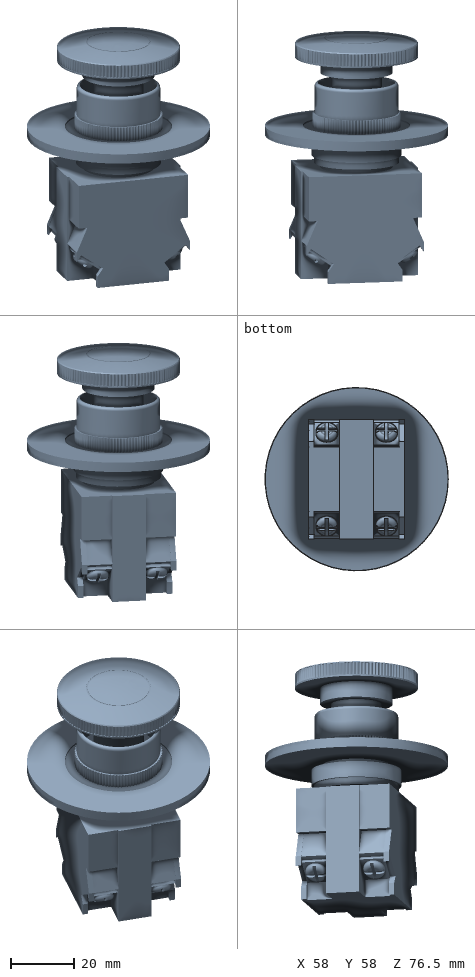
import cadquery as cq
import math

CONTACT_TOP = 20.35
HOUSING_TOP = 34.6
ADAPTER_NECK_TOP = 36.1
ADAPTER_STEP_TOP = 38.4
ADAPTER_TOP = 43.45
PLATE_BOTTOM = 44.9
PLATE_TOP = 48.0
COLLAR_KNURL_TOP = 51.95
COLLAR_FLOOR = 52.4
COLLAR_TOP = 61.7
BUTTON_NECK_BOTTOM = 64.9
CAP_BOTTOM = 69.9
CAP_KNURL_BOTTOM = 70.45
CAP_KNURL_TOP = 74.35
DOME_EDGE = 74.7
TOTAL_HEIGHT = 76.5

HOUSING_WIDTH = 30.4
HOUSING_DEPTH = 36.4
RIB_WIDTH = 10.8
RIB_DEPTH = 37.7
ADAPTER_DIAMETER = 28.45
ADAPTER_STEP_DIAMETER = 27.0
ADAPTER_NECK_DIAMETER = 22.95
BARREL_DIAMETER = 22.2

WALL_THICKNESS = 1.75
SHOULDER_DEPTH = 30.75
SHOULDER_HEIGHT = 12.5
FOOT_DEPTH = 23.8
BAY_SETBACK = 0.1
NOTCH_TOP_Y = 17.45
NOTCH_TOP_Z = 11.4
NOTCH_LENGTH = 8.9
NOTCH_ANGLE = 35.0
STRIP_THICKNESS = 1.0

SCREW_DIAMETER = 7.0
SCREW_HEIGHT = 2.0
SCREW_ROUNDING = 1.5
SCREW_SLOT_WIDTH = 1.15
SCREW_SLOT_DEPTH = 0.9
SCREW_ALONG_NOTCH = 4.2

PLATE_DIAMETER = 58.0
PLATE_RECESS_DIAMETER = 34.0
PLATE_RECESS_DEPTH = 0.5

COLLAR_DIAMETER = 26.5
COLLAR_KNURL_DIAMETER = 27.9
COLLAR_ROUNDING = 1.0
COLLAR_TEETH = 88

CAP_DIAMETER = 38.95
CAP_RIM = 0.2
BUTTON_NECK_DIAMETER = 22.95
STEM_DIAMETER = 16.0
CAP_TEETH = 110
DOME_GROOVE_OUTER_DIAMETER = 20.5
DOME_GROOVE_WIDTH = 0.45
DOME_GROOVE_DEPTH = 0.1

KNURL_DEPTH = 0.4


def disc(diameter, bottom, top):
    """Upright cylinder about the Z axis between two levels."""
    return cq.Workplane("XY").workplane(offset=bottom).circle(diameter / 2).extrude(top - bottom)


def knurled_disc(diameter, teeth, bottom, top):
    """Upright disc whose rim is a ring of triangular teeth."""
    tip_radius = diameter / 2
    root_radius = tip_radius - KNURL_DEPTH
    points = []
    for corner in range(2 * teeth):
        radius = tip_radius if corner % 2 == 0 else root_radius
        angle = math.pi * corner / teeth
        points.append((radius * math.cos(angle), radius * math.sin(angle)))
    return cq.Workplane("XY").workplane(offset=bottom).polyline(points).close().extrude(top - bottom)


def block(width, depth, bottom, top):
    """Upright box centred on the Z axis between two levels."""
    return cq.Workplane("XY").workplane(offset=bottom).rect(width, depth).extrude(top - bottom)


def make_housing():
    housing = block(HOUSING_WIDTH, HOUSING_DEPTH, CONTACT_TOP, HOUSING_TOP)
    housing = housing.union(block(RIB_WIDTH, RIB_DEPTH, 0, HOUSING_TOP))
    housing = housing.union(disc(ADAPTER_NECK_DIAMETER, HOUSING_TOP, ADAPTER_NECK_TOP))
    housing = housing.union(disc(ADAPTER_STEP_DIAMETER, ADAPTER_NECK_TOP, ADAPTER_STEP_TOP))
    housing = housing.union(disc(ADAPTER_DIAMETER, ADAPTER_STEP_TOP, ADAPTER_TOP))
    return housing.union(disc(BARREL_DIAMETER, ADAPTER_TOP, COLLAR_FLOOR))


notch_along = (-math.cos(math.radians(NOTCH_ANGLE)), -math.sin(math.radians(NOTCH_ANGLE)))
notch_outward = (math.sin(math.radians(NOTCH_ANGLE)), -math.cos(math.radians(NOTCH_ANGLE)))


def notch_point(along, outward):
    """Point (Y, Z) measured from the upper inner corner of the +Y notch."""
    y = NOTCH_TOP_Y + along * notch_along[0] + outward * notch_outward[0]
    z = NOTCH_TOP_Z + along * notch_along[1] + outward * notch_outward[1]
    return (y, z)


def notch_point_at_y(y, along):
    """Point (Y, Z) at a given Y on the line square to the notch at a distance along it."""
    outward = (y - notch_point(along, 0)[0]) / notch_outward[0]
    return notch_point(along, outward)


def symmetric_prism(half_outline, x_start, x_end):
    """Extrude along X an outline given by its +Y half, top to bottom."""
    mirrored = [(-y, z) for y, z in reversed(half_outline)]
    outline = cq.Workplane("YZ").workplane(offset=x_start).polyline(half_outline + mirrored).close()
    return outline.extrude(x_end - x_start)


def make_contact_block(side):
    shoulder_y = SHOULDER_DEPTH / 2
    rib_y = RIB_DEPTH / 2
    foot_y = FOOT_DEPTH / 2
    wall_half = [
        (shoulder_y, CONTACT_TOP),
        (rib_y, SHOULDER_HEIGHT),
        notch_point_at_y(rib_y, 0),
        notch_point(0, 0),
        notch_point(NOTCH_LENGTH, 0),
        notch_point_at_y(foot_y, NOTCH_LENGTH),
        (foot_y, 0),
    ]
    bay_y = rib_y - BAY_SETBACK
    bay_edge_along = (NOTCH_TOP_Y - bay_y) / math.cos(math.radians(NOTCH_ANGLE))
    bay_foot_y = notch_point(NOTCH_LENGTH, 0)[0]
    bay_half = [
        (shoulder_y - BAY_SETBACK, CONTACT_TOP),
        notch_point(bay_edge_along, 0),
        notch_point(0, 0),
        notch_point(0, STRIP_THICKNESS),
        notch_point(NOTCH_LENGTH, STRIP_THICKNESS),
        notch_point(NOTCH_LENGTH, 0),
        (bay_foot_y, 0),
    ]
    outer_x = HOUSING_WIDTH / 2
    wall_x = outer_x - WALL_THICKNESS
    contact = symmetric_prism(wall_half, wall_x, outer_x)
    contact = contact.union(symmetric_prism(bay_half, RIB_WIDTH / 2, wall_x))
    return contact if side > 0 else contact.mirror("YZ")


def make_screw(side_x, side_y):
    radius = SCREW_DIAMETER / 2
    screw = cq.Workplane("XY").circle(radius).extrude(SCREW_HEIGHT)
    screw = screw.faces(">Z").edges().fillet(SCREW_ROUNDING)
    for angle in (0, 90):
        slot = cq.Workplane("XY").box(SCREW_DIAMETER, SCREW_SLOT_WIDTH, SCREW_SLOT_DEPTH)
        slot = slot.translate((0, 0, SCREW_HEIGHT - SCREW_SLOT_DEPTH / 2))
        screw = screw.cut(slot.rotate((0, 0, 0), (0, 0, 1), angle))
    seat_y, seat_z = notch_point(SCREW_ALONG_NOTCH, STRIP_THICKNESS)
    bay_x = (RIB_WIDTH / 2 + HOUSING_WIDTH / 2 - WALL_THICKNESS) / 2
    seat = cq.Plane(
        origin=(side_x * bay_x, side_y * seat_y, seat_z),
        xDir=(1, 0, 0),
        normal=(0, side_y * notch_outward[0], notch_outward[1]),
    )
    return cq.Workplane(screw.val().located(seat.location))


def make_plate():
    plate = disc(PLATE_DIAMETER, PLATE_BOTTOM, PLATE_TOP)
    plate = plate.cut(disc(PLATE_RECESS_DIAMETER, PLATE_TOP - PLATE_RECESS_DEPTH, PLATE_TOP))
    return plate.cut(disc(BARREL_DIAMETER, PLATE_BOTTOM, PLATE_TOP))


def make_collar():
    foot_bottom = PLATE_TOP - PLATE_RECESS_DEPTH
    sleeve = disc(COLLAR_DIAMETER, COLLAR_KNURL_TOP, COLLAR_TOP)
    sleeve = sleeve.faces(">Z").edges().fillet(COLLAR_ROUNDING)
    collar = knurled_disc(COLLAR_KNURL_DIAMETER, COLLAR_TEETH, foot_bottom, COLLAR_KNURL_TOP)
    collar = collar.union(sleeve)
    collar = collar.cut(disc(BARREL_DIAMETER, foot_bottom, COLLAR_FLOOR))
    bore_diameter = COLLAR_DIAMETER - 2 * COLLAR_ROUNDING
    return collar.cut(disc(bore_diameter, COLLAR_FLOOR, COLLAR_TOP))


def make_button():
    dome_radius = CAP_DIAMETER / 2 - CAP_RIM
    dome_rise = TOTAL_HEIGHT - DOME_EDGE
    sphere_radius = (dome_radius**2 + dome_rise**2) / (2 * dome_rise)
    mid_radius = dome_radius / 2
    mid_z = TOTAL_HEIGHT - sphere_radius + math.sqrt(sphere_radius**2 - mid_radius**2)
    dome = (
        cq.Workplane("XZ")
        .moveTo(0, CAP_KNURL_TOP)
        .lineTo(CAP_DIAMETER / 2, CAP_KNURL_TOP)
        .lineTo(dome_radius, DOME_EDGE)
        .threePointArc((mid_radius, mid_z), (0, TOTAL_HEIGHT))
        .close()
        .revolve(360, (0, 0, 0), (0, 1, 0))
    )
    button = dome.union(knurled_disc(CAP_DIAMETER, CAP_TEETH, CAP_KNURL_BOTTOM, CAP_KNURL_TOP))
    button = button.union(disc(CAP_DIAMETER, CAP_BOTTOM, CAP_KNURL_BOTTOM))
    button = button.union(disc(BUTTON_NECK_DIAMETER, BUTTON_NECK_BOTTOM, CAP_BOTTOM))
    button = button.union(disc(STEM_DIAMETER, COLLAR_FLOOR, BUTTON_NECK_BOTTOM))

    groove_radius = DOME_GROOVE_OUTER_DIAMETER / 2
    groove_z = TOTAL_HEIGHT - sphere_radius + math.sqrt(sphere_radius**2 - groove_radius**2)
    groove = disc(DOME_GROOVE_OUTER_DIAMETER, groove_z - DOME_GROOVE_DEPTH, TOTAL_HEIGHT)
    inner_diameter = DOME_GROOVE_OUTER_DIAMETER - 2 * DOME_GROOVE_WIDTH
    groove = groove.cut(disc(inner_diameter, groove_z - DOME_GROOVE_DEPTH, TOTAL_HEIGHT))
    return button.cut(groove)


housing = make_housing()
contact_blocks = [make_contact_block(side) for side in (-1, 1)]
screws = [make_screw(side_x, side_y) for side_x in (-1, 1) for side_y in (-1, 1)]
plate = make_plate()
collar = make_collar()
button = make_button()

result = cq.Compound.makeCompound(
    [
        housing.val(),
        *[contact.val() for contact in contact_blocks],
        *[screw.val() for screw in screws],
        plate.val(),
        collar.val(),
        button.val(),
    ]
)